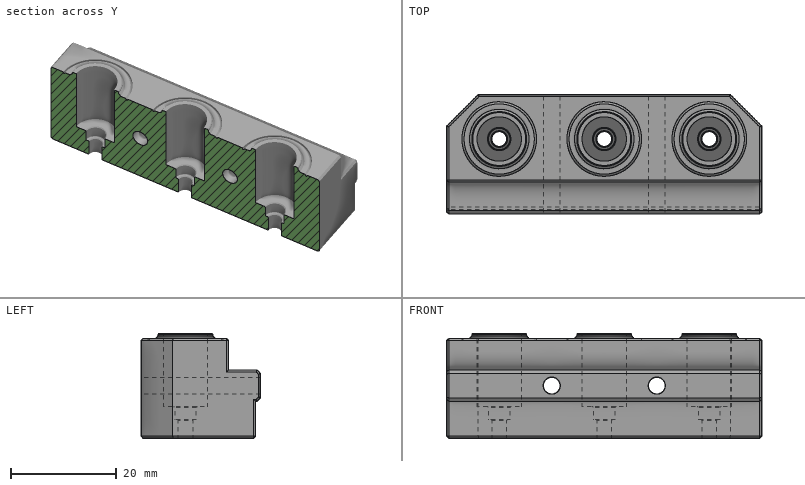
import cadquery as cq

length = 60.0
depth = 22.75
total_height = 20.0
body_height = 19.0
corner_cut = 6.0
edge_chamfer = 0.39

step_setback = 6.05
base_setback = 0.9
lip_top = 13.0
lip_bottom = 7.0
lip_chamfer = 0.65

bushing_pitch = length / 3
bushing_from_back = 8.45
flange_diameter = 14.2
flange_chamfer = 0.4
collar_base_diameter = 11.35
collar_diameter = 10.45
collar_cone_height = 0.5
collar_rim_chamfer = 0.2

bore_diameter = 8.45
bore_floor = 6.0
counterbore_diameter = 4.1
counterbore_floor = 3.6
through_diameter = 2.8
counterbore_chamfer = 0.2
through_chamfer = 0.2

mount_diameter = 3.2
mount_height = (lip_top + lip_bottom) / 2

front = -depth / 2
back = depth / 2
bushing_y = back - bushing_from_back


def revolve_profile(points):
    """Revolve an (r, z) outline about the Z axis."""
    return cq.Workplane("XZ").polyline(points).close().revolve(360, (0, 0), (0, 1))


def make_block():
    """Stepped profile along X with chamfered outer edges and cut rear corners."""
    profile = [
        (back, 0),
        (back, body_height),
        (front + step_setback, body_height),
        (front + step_setback, lip_top),
        (front + lip_chamfer, lip_top),
        (front, lip_top - lip_chamfer),
        (front, lip_bottom + lip_chamfer),
        (front + lip_chamfer, lip_bottom),
        (front + base_setback, lip_bottom),
        (front + base_setback, 0),
    ]
    block = cq.Workplane("YZ").polyline(profile).close().extrude(length / 2, both=True)
    block = block.edges("|Z and >Y").chamfer(corner_cut)
    end_edges = block.faces("<X or >X").edges("not >Y").vals()
    cap_edges = block.faces("<Z or >Z").edges("not |Y").vals()
    return block.newObject(end_edges + cap_edges).chamfer(edge_chamfer)


def make_collar():
    """Raised collar: conical foot, straight band and chamfered rim."""
    return revolve_profile([
        (0, body_height),
        (collar_base_diameter / 2, body_height),
        (collar_diameter / 2, body_height + collar_cone_height),
        (collar_diameter / 2, total_height - collar_rim_chamfer),
        (collar_diameter / 2 - collar_rim_chamfer, total_height),
        (0, total_height),
    ])


def make_flange_groove():
    """Triangular ring groove left by the chamfered flange in its seat."""
    return revolve_profile([
        (flange_diameter / 2, body_height),
        (flange_diameter / 2, body_height - flange_chamfer),
        (flange_diameter / 2 - flange_chamfer, body_height),
    ])


def make_bore():
    """Bore, counterbore and through hole, the two lower steps with chamfered mouths."""
    bore_radius = bore_diameter / 2
    counterbore_radius = counterbore_diameter / 2
    through_radius = through_diameter / 2
    return revolve_profile([
        (0, 0),
        (through_radius, 0),
        (through_radius, counterbore_floor - through_chamfer),
        (through_radius + through_chamfer, counterbore_floor),
        (counterbore_radius, counterbore_floor),
        (counterbore_radius, bore_floor - counterbore_chamfer),
        (counterbore_radius + counterbore_chamfer, bore_floor),
        (bore_radius, bore_floor),
        (bore_radius, total_height),
        (0, total_height),
    ])


def make_mounting_hole():
    """Plain hole along Y through the full depth."""
    return cq.Workplane("XZ").center(0, mount_height).circle(mount_diameter / 2).extrude(depth, both=True)


result = make_block()

for x in (-bushing_pitch, 0, bushing_pitch):
    place = (x, bushing_y, 0)
    result = result.union(make_collar().translate(place))
    result = result.cut(make_flange_groove().translate(place))
    result = result.cut(make_bore().translate(place))

for x in (-bushing_pitch / 2, bushing_pitch / 2):
    result = result.cut(make_mounting_hole().translate((x, 0, 0)))